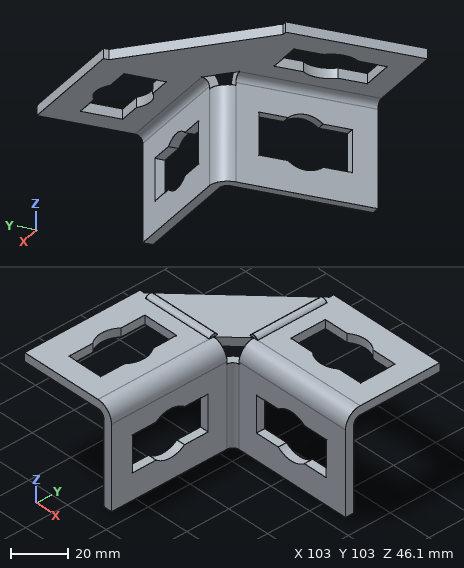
import cadquery as cq
import math

span = 103.0
leg_length = 55.0
leg_width = 45.0
leg_height = 45.0
thickness = 4.0
outer_radius = 7.0
inner_radius = outer_radius - thickness

corner_height = 37.0
gusset_setback = 2.2

bead_width = 4.0
bead_height = 1.1
bead_length = 33.0

slot_length = 36.0
slot_width = 16.4
slot_bulge_diameter = 21.2
slot_center_along_leg = 28.0
flange_slot_center = 20.4
wall_slot_center = 20.2

bend_start = leg_width - outer_radius
wall_inside = leg_width - thickness
flange_underside = leg_height - thickness
bend_level = leg_height - outer_radius
far_leg_start = span - leg_length
diagonal = math.sqrt(0.5)


def mirror_to_other_leg(body):
    """Reflect across the vertical plane that swaps the two legs."""
    return body.mirror((1, 1, 0), (span / 2, span / 2, 0))


def keyed_cutter(workplane, length_x, length_y, depth):
    rectangle = workplane.rect(length_x, length_y).extrude(depth)
    bulge = workplane.circle(slot_bulge_diameter / 2).extrude(depth)
    return rectangle.union(bulge)


def make_leg():
    profile = (
        cq.Workplane("XZ")
        .moveTo(0, leg_height)
        .lineTo(bend_start, leg_height)
        .radiusArc((leg_width, bend_level), outer_radius)
        .lineTo(leg_width, 0)
        .lineTo(wall_inside, 0)
        .lineTo(wall_inside, bend_level)
        .radiusArc((bend_start, flange_underside), -inner_radius)
        .lineTo(0, flange_underside)
        .close()
    )
    leg = profile.extrude(-leg_length)

    flange_plane = cq.Workplane("XY", origin=(flange_slot_center, slot_center_along_leg, flange_underside))
    wall_plane = cq.Workplane("YZ", origin=(wall_inside, slot_center_along_leg, wall_slot_center))
    leg = leg.cut(keyed_cutter(flange_plane, slot_width, slot_length, thickness))
    return leg.cut(keyed_cutter(wall_plane, slot_length, slot_width, thickness))


def make_gusset():
    """Flat plate joining the two top flanges."""
    return (
        cq.Workplane("XY", origin=(0, 0, flange_underside))
        .polyline([
            (gusset_setback, leg_length),
            (bend_start, leg_length),
            (far_leg_start, span - bend_start),
            (far_leg_start, span - gusset_setback),
        ])
        .close()
        .extrude(thickness)
    )


def make_corner():
    """Upright quarter bend joining the two side walls."""
    center_x = far_leg_start
    center_y = leg_length
    outer_mid = outer_radius * diagonal
    inner_mid = inner_radius * diagonal
    return (
        cq.Workplane("XY")
        .moveTo(center_x - outer_radius, center_y)
        .threePointArc((center_x - outer_mid, center_y + outer_mid), (center_x, center_y + outer_radius))
        .lineTo(center_x, center_y + inner_radius)
        .threePointArc((center_x - inner_mid, center_y + inner_mid), (center_x - inner_radius, center_y))
        .close()
        .extrude(corner_height)
    )


def make_bead():
    """Rounded ridge centred on the joint between leg and gusset."""
    bead_start = bend_start - bead_length
    return (
        cq.Workplane("YZ", origin=(bead_start, leg_length, leg_height))
        .moveTo(-bead_width / 2, 0)
        .threePointArc((0, bead_height), (bead_width / 2, 0))
        .close()
        .extrude(bead_length)
    )


leg = make_leg()
bead = make_bead()
result = make_gusset().union(make_corner())
for body in (leg, bead):
    result = result.union(body).union(mirror_to_other_leg(body))